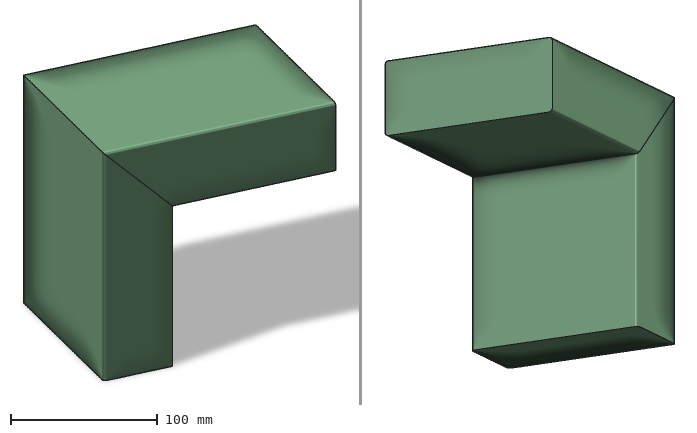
import cadquery as cq

leg_length = 175.0
width = 130.0
thickness = 52.8
edge_radius = 2.5

half_length = leg_length / 2
miter_normal = (0, 1, 1)


def rounded_bar():
    """Horizontal bar along Y, its top at the outer height, its long edges rounded."""
    return (
        cq.Workplane("XY")
        .box(width, leg_length, thickness)
        .translate((0, 0, half_length - thickness / 2))
        .edges("|Y")
        .fillet(edge_radius)
    )


def miter_wedge():
    """Prism kept by the horizontal leg: everything above the 45 degree miter plane."""
    return (
        cq.Workplane("YZ")
        .moveTo(-half_length, half_length)
        .lineTo(half_length, half_length)
        .lineTo(half_length, -half_length)
        .close()
        .extrude(width / 2, both=True)
    )


def make_horizontal_leg():
    """Leg along Y, cut at the miter plane."""
    return rounded_bar().intersect(miter_wedge())


def make_vertical_leg():
    """Leg along Z: the horizontal leg mirrored in the miter plane."""
    return make_horizontal_leg().mirror(miter_normal)


horizontal_leg = make_horizontal_leg()
vertical_leg = make_vertical_leg()

result = cq.Compound.makeCompound([*horizontal_leg.solids().vals(), *vertical_leg.solids().vals()])